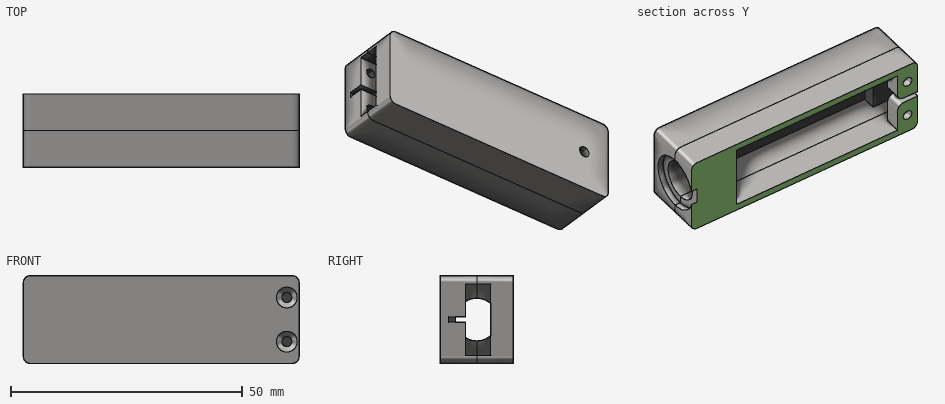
import cadquery as cq

LENGTH = 59.7
WIDTH = 15.9
HEIGHT = 19.05
CORNER_RADIUS = 1.55

SOCKET_DIAMETER = 9.2
SOCKET_RECESS_DIAMETER = 12.85
SOCKET_RECESS_DEPTH = 1.4

WALL = 1.8
CAVITY_START = 11.95

SIDE_HOLE_DIAMETER = 2.5
SIDE_HOLE_FROM_END = 6.55

SCREW_SPACING = 9.55
SCREW_FROM_END = 2.7
SCREW_DIAMETER = 2.15
SCREW_HEAD_DIAMETER = 4.5
COUNTERSINK_ANGLE = 90.0

BLOCK_LENGTH = 2 * SCREW_FROM_END
FRONT_BLOCK_GAP = 2.4
REAR_BLOCK_GAP = 3.0
BLOCK_SLOT_WIDTH = 1.15
BLOCK_NOSE_RADIUS = 1.8

HALF_WIDTH = WIDTH / 2
X_MIN = -LENGTH / 2
X_MAX = LENGTH / 2
CAVITY_HEIGHT = HEIGHT - 2 * WALL
CAVITY_HALF_WIDTH = HALF_WIDTH - WALL


def box(x_start, x_end, y_start, y_end, z_start, z_end):
    """Axis-aligned box between the given limits."""
    size = (x_end - x_start, y_end - y_start, z_end - z_start)
    return cq.Workplane("XY").box(*size, centered=False).translate((x_start, y_start, z_start))


def x_cylinder(diameter, x_start, x_end):
    """Cylinder on the long axis of the housing."""
    return cq.Workplane("YZ", origin=(x_start, 0, 0)).circle(diameter / 2).extrude(x_end - x_start)


def hollow_shell(y_start, y_end):
    """Part of the rounded, hollow housing that lies between two Y limits."""
    shell = box(X_MIN, X_MAX, y_start, y_end, -HEIGHT / 2, HEIGHT / 2)
    shell = shell.edges("|Y").fillet(CORNER_RADIUS)

    cavity_start = X_MIN + CAVITY_START
    cavity = box(
        cavity_start, X_MAX,
        -CAVITY_HALF_WIDTH, CAVITY_HALF_WIDTH,
        -CAVITY_HEIGHT / 2, CAVITY_HEIGHT / 2,
    )
    socket = x_cylinder(SOCKET_DIAMETER, X_MIN, cavity_start)
    recess = x_cylinder(SOCKET_RECESS_DIAMETER, X_MIN, X_MIN + SOCKET_RECESS_DEPTH)
    return shell.cut(cavity).cut(socket).cut(recess)


def screw_block(side):
    """Front end block above (side = 1) or below (side = -1) the central slot."""
    z_limits = sorted((side * BLOCK_SLOT_WIDTH / 2, side * CAVITY_HEIGHT / 2))
    block = box(X_MAX - BLOCK_LENGTH, X_MAX, -CAVITY_HALF_WIDTH, -FRONT_BLOCK_GAP, *z_limits)
    slot_edge = "<Z" if side > 0 else ">Z"
    return block.faces("<X").edges(slot_edge).fillet(BLOCK_NOSE_RADIUS)


def make_front_shell():
    """Shell on the -Y side, with two countersunk screw holes through its end blocks."""
    shell = hollow_shell(-HALF_WIDTH, 0)
    for side in (-1, 1):
        shell = shell.union(screw_block(side))
    screw_positions = [(X_MAX - SCREW_FROM_END, side * SCREW_SPACING / 2) for side in (-1, 1)]
    return (
        cq.Workplane("XZ", origin=(0, -HALF_WIDTH, 0))
        .add(shell)
        .pushPoints(screw_positions)
        .cskHole(SCREW_DIAMETER, SCREW_HEAD_DIAMETER, COUNTERSINK_ANGLE)
    )


def make_rear_shell():
    """Shell on the +Y side, with a plain end block and a side hole into the socket."""
    end_block = box(
        X_MAX - BLOCK_LENGTH, X_MAX,
        REAR_BLOCK_GAP, CAVITY_HALF_WIDTH,
        -CAVITY_HEIGHT / 2, CAVITY_HEIGHT / 2,
    )
    side_hole = (
        cq.Workplane("XZ", origin=(X_MIN + SIDE_HOLE_FROM_END, 0, 0))
        .circle(SIDE_HOLE_DIAMETER / 2)
        .extrude(-HALF_WIDTH)
    )
    return hollow_shell(0, HALF_WIDTH).union(end_block).cut(side_hole)


front_shell = make_front_shell()
rear_shell = make_rear_shell()

result = cq.Compound.makeCompound([front_shell.val(), rear_shell.val()])